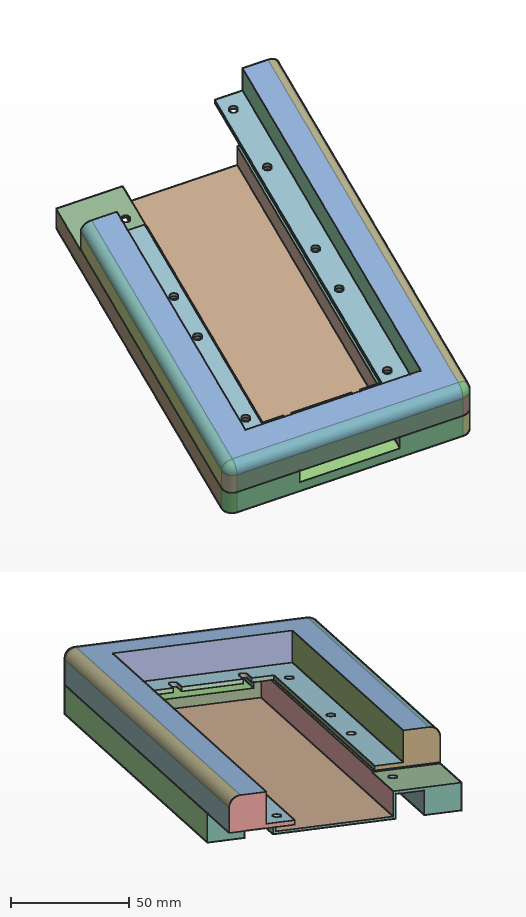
import cadquery as cq

LENGTH = 202.4
WIDTH = 114.7
HEIGHT = 29.5
BASE_HEIGHT = 13.2
WALL = 16.8
END_WALL = 17.5
PLATE = 2.0
EDGE_RADIUS = 5.0
INNER_END = LENGTH - END_WALL
INNER_WIDTH = WIDTH - 2 * WALL

BASE_START = 26.1
CHANNEL_WIDTH = 53.0
SHEET = 1.2
CHANNEL_OUTER_WIDTH = CHANNEL_WIDTH + 2 * SHEET
WINDOW_WIDTH = 46.3
WINDOW_BOTTOM = 5.9
LEDGE_DROP = 0.6

SHORT_SIDE_START = 51.5
OPENING_WIDTH = CHANNEL_OUTER_WIDTH
OPENING_END = 172.8
SLOT_WIDTH = 3.8
SLOT_END = 179.9
SLOT_Y = 15.8

HOLE_DIAMETER = 3.8
HOLE_Y = 32.8
HOLE_PITCH = 50.0
FIRST_PAIR_X = 43.3
SECOND_PAIR_X = 117.8
ARM_TIP_HOLE_X = 8.0
HOLE_XS = [start + step for start in (FIRST_PAIR_X, SECOND_PAIR_X) for step in (0, HOLE_PITCH)]
HOLE_POINTS = [(x, side * HOLE_Y) for x in HOLE_XS for side in (-1, 1)]


def block(x_range, y_range, z_range):
    """Box spanning the given ranges along each axis."""
    size = [high - low for low, high in (x_range, y_range, z_range)]
    corner = (x_range[0], y_range[0], z_range[0])
    return cq.Workplane("XY").box(*size, centered=False).translate(corner)


def centred_block(x_range, width, z_range):
    """Box that is symmetric about the XZ plane."""
    return block(x_range, (-width / 2, width / 2), z_range)


def screw_holes(points):
    """Vertical cutters through the full height."""
    return cq.Workplane("XY").pushPoints(points).circle(HOLE_DIAMETER / 2).extrude(HEIGHT)


def make_base():
    base = centred_block((BASE_START, LENGTH), WIDTH, (0, BASE_HEIGHT))
    base = base.edges("|Z and >X").fillet(EDGE_RADIUS)

    base = base.cut(centred_block((BASE_START, INNER_END), CHANNEL_WIDTH, (SHEET, BASE_HEIGHT)))

    base = base.cut(centred_block((INNER_END, LENGTH), WINDOW_WIDTH, (WINDOW_BOTTOM, BASE_HEIGHT)))

    hollow_y = (CHANNEL_OUTER_WIDTH / 2, INNER_WIDTH / 2)
    hollow = block((BASE_START, INNER_END), hollow_y, (0, BASE_HEIGHT - PLATE))
    base = base.cut(hollow).cut(hollow.mirror("XZ"))

    ledge_z = (BASE_HEIGHT - LEDGE_DROP, BASE_HEIGHT)
    base = base.cut(block((BASE_START, SHORT_SIDE_START), (-WIDTH / 2, -CHANNEL_WIDTH / 2), ledge_z))

    return base.cut(screw_holes(HOLE_POINTS))


def make_cover():
    cover = centred_block((0, LENGTH), WIDTH, (BASE_HEIGHT, HEIGHT))
    cover = cover.edges("|Z and >X").fillet(EDGE_RADIUS)
    cover = cover.faces(">Z").edges("not <X").fillet(EDGE_RADIUS)

    cover = cover.cut(centred_block((0, INNER_END), INNER_WIDTH, (BASE_HEIGHT + PLATE, HEIGHT)))

    plate_z = (BASE_HEIGHT, BASE_HEIGHT + PLATE)
    cover = cover.cut(centred_block((0, OPENING_END), OPENING_WIDTH, plate_z))

    slot_centre = SLOT_END - SLOT_WIDTH / 2
    for side in (-1, 1):
        y = side * SLOT_Y
        slot = block((OPENING_END, slot_centre), (y - SLOT_WIDTH / 2, y + SLOT_WIDTH / 2), plate_z)
        tip = cq.Workplane("XY", origin=(slot_centre, y, BASE_HEIGHT)).circle(SLOT_WIDTH / 2).extrude(PLATE)
        cover = cover.cut(slot).cut(tip)

    cover = cover.cut(block((0, SHORT_SIDE_START), (-WIDTH / 2, 0), (BASE_HEIGHT, HEIGHT)))

    return cover.cut(screw_holes(HOLE_POINTS + [(ARM_TIP_HOLE_X, HOLE_Y)]))


base = make_base()
cover = make_cover()
result = cq.Compound.makeCompound([base.val(), cover.val()])